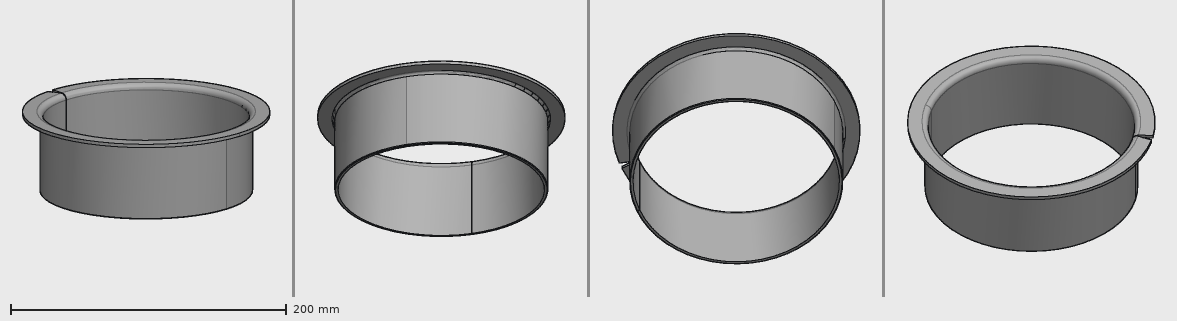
import cadquery as cq

height = 60.0
bore_radius = 75.0
wall = 2.5
flange_radius = 90.0
outer_bend_radius = 2.0
edge_chamfer = 0.6

split_angle = 182.0
split_width = 0.5
flange_gap_width = 5.3

sleeve_radius = bore_radius + wall
inner_bend_radius = outer_bend_radius + wall
bend_center_radius = bore_radius + inner_bend_radius
bend_center_height = height - inner_bend_radius


def bushing_body():
    """Revolve the L-shaped wall section, bent round one common centre."""
    section = (
        cq.Workplane("XZ")
        .moveTo(bore_radius, 0)
        .lineTo(sleeve_radius - edge_chamfer, 0)
        .lineTo(sleeve_radius, edge_chamfer)
        .lineTo(sleeve_radius, bend_center_height)
        .radiusArc((bend_center_radius, height - wall), outer_bend_radius)
        .lineTo(flange_radius, height - wall)
        .lineTo(flange_radius, height)
        .lineTo(bend_center_radius, height)
        .radiusArc((bore_radius, bend_center_height), -inner_bend_radius)
        .close()
    )
    return section.revolve(360, (0, 0, 0), (0, 1, 0))


def split_cutter():
    """Narrow radial slit that opens into a V outside the sleeve wall."""
    start_radius = bore_radius - wall
    end_radius = flange_radius + wall
    slope = (flange_gap_width - split_width) / (flange_radius - sleeve_radius)
    end_half_width = (flange_gap_width + slope * (end_radius - flange_radius)) / 2
    half_width = split_width / 2
    outline = [
        (start_radius, -half_width),
        (sleeve_radius, -half_width),
        (end_radius, -end_half_width),
        (end_radius, end_half_width),
        (sleeve_radius, half_width),
        (start_radius, half_width),
    ]
    cutter = cq.Workplane("XY").polyline(outline).close().extrude(height)
    return cutter.rotate((0, 0, 0), (0, 0, 1), split_angle)


result = bushing_body().cut(split_cutter())